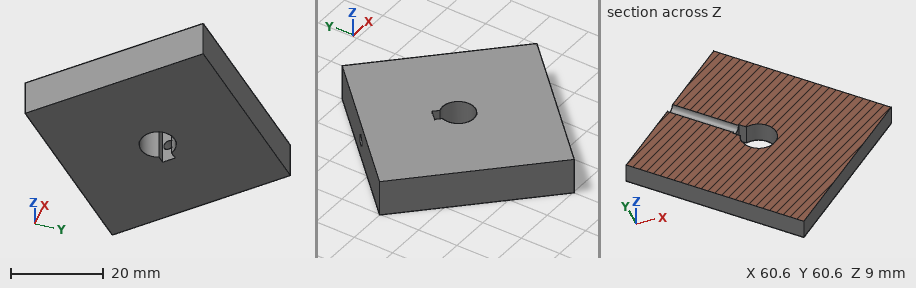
import cadquery as cq
import math

corner_span = 60.58
plate_side = corner_span / math.sqrt(2)
plate_thickness = 9.0

bore_diameter = 8.0
keyway_width = 3.0
keyway_reach = 5.5

screw_hole_diameter = 2.46
key_direction = 135.0


def make_plate():
    return cq.Workplane("XY").rect(plate_side, plate_side).extrude(plate_thickness)


def make_bore():
    return cq.Workplane("XY").circle(bore_diameter / 2).extrude(plate_thickness)


def make_keyway():
    """Rectangular slot from the bore axis out to the keyway floor."""
    return cq.Workplane("XY").box(
        keyway_reach, keyway_width, plate_thickness, centered=(False, True, False)
    )


def make_screw_hole():
    """Radial hole at mid-thickness from the bore axis out through one side face."""
    return (
        cq.Workplane("YZ")
        .center(0, plate_thickness / 2)
        .circle(screw_hole_diameter / 2)
        .extrude(plate_side / 2)
    )


plate = make_plate().cut(make_bore()).cut(make_keyway()).cut(make_screw_hole())
result = plate.rotate((0, 0, 0), (0, 0, 1), key_direction)